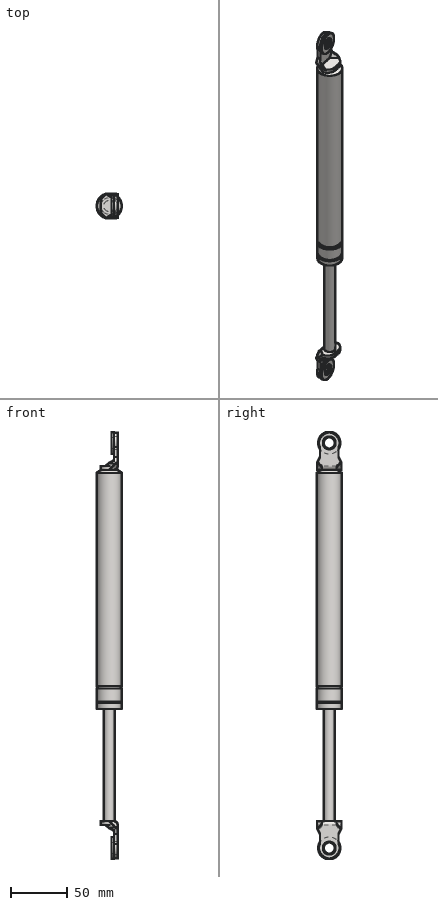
import cadquery as cq
import math

overall_length = 380.0
foot_height = 156.0

tube_diameter = 22.5
tube_bottom = -56.5
crown_height = 2.5
crown_width = 3.8
bottom_fillet = 1.0
roll_groove_z = -37.2
roll_groove_width = 2.3
roll_groove_depth = 1.0
vee_groove_z = -50.5
vee_groove_width = 1.5
vee_groove_depth = 0.8

rod_diameter = 10.0

plate_thickness = 3.5
foot_width = 22.0
foot_left = -7.5
foot_corner_radius = 8.0
arm_outer = 7.5
bend_radius = 3.5
neck_half_width = 8.5
taper_bottom = 5.7
taper_top = 11.5
gusset_leg = 7.2
gusset_width = 5.0
bevel_leg = 7.5
bevel_width = 6.5
arm_eye_radius = 9.0
arm_hole_diameter = 11.5

ring_diameter = 19.8
ring_hole_diameter = 10.0
ring_thickness = 2.3

tube_radius = tube_diameter / 2
foot_half_width = foot_width / 2
arm_inner = arm_outer - plate_thickness
eye_height = overall_length / 2 - ring_diameter / 2 - foot_height
arm_height = eye_height + arm_eye_radius


def revolve_section(section):
    """Ring swept around the Z axis from a section in the XZ plane."""
    return section.close().revolve(360, (0, 0, 0), (0, 1, 0))


def make_roll_groove():
    """Cutter for the rounded groove rolled into the tube."""
    half_width = roll_groove_width / 2
    section = (
        cq.Workplane("XZ")
        .moveTo(tube_radius, roll_groove_z - half_width)
        .threePointArc(
            (tube_radius - roll_groove_depth, roll_groove_z),
            (tube_radius, roll_groove_z + half_width),
        )
    )
    return revolve_section(section)


def make_vee_groove():
    """Cutter for the fine V groove above the tube's lower end."""
    half_width = vee_groove_width / 2
    section = (
        cq.Workplane("XZ")
        .moveTo(tube_radius, vee_groove_z - half_width)
        .lineTo(tube_radius - vee_groove_depth, vee_groove_z)
        .lineTo(tube_radius, vee_groove_z + half_width)
    )
    return revolve_section(section)


def make_tube():
    """Closed cylinder with a sloping crown on top and two grooves around it."""
    tube = cq.Workplane("XY", origin=(0, 0, tube_bottom)).circle(tube_radius)
    tube = tube.extrude(foot_height - tube_bottom)
    tube = tube.faces(">Z").chamfer(crown_height, crown_width)
    tube = tube.faces("<Z").edges().fillet(bottom_fillet)
    return tube.cut(make_roll_groove()).cut(make_vee_groove())


def make_rod():
    """Round rod from the tube's lower end to the lower bracket."""
    rod = cq.Workplane("XY", origin=(0, 0, -foot_height)).circle(rod_diameter / 2)
    return rod.extrude(tube_bottom + foot_height)


def make_bent_plate():
    """L-shaped plate with a rounded bend, lying on Z = 0."""
    plate = (
        cq.Workplane("XZ", origin=(0, foot_half_width, 0))
        .moveTo(foot_left, 0)
        .lineTo(arm_outer, 0)
        .lineTo(arm_outer, arm_height)
        .lineTo(arm_inner, arm_height)
        .lineTo(arm_inner, plate_thickness)
        .lineTo(foot_left, plate_thickness)
        .close()
        .extrude(foot_width)
    )
    plate = plate.edges("|Y and >X and <Z").fillet(bend_radius)
    return plate.edges("|Z and <X").fillet(foot_corner_radius)


def make_corner_block(x, y, z, leg, width):
    """Tetrahedron at (x, y, z): equal legs along -X and +Z, and a width towards Y = 0."""
    corner = cq.Vector(x, y, z)
    tip_x = cq.Vector(x - leg, y, z)
    tip_y = cq.Vector(x, y - math.copysign(width, y), z)
    tip_z = cq.Vector(x, y, z + leg)
    triangles = [
        (corner, tip_x, tip_y),
        (corner, tip_y, tip_z),
        (corner, tip_z, tip_x),
        (tip_x, tip_y, tip_z),
    ]
    faces = [
        cq.Face.makeFromWires(cq.Wire.makePolygon(list(triangle), close=True))
        for triangle in triangles
    ]
    return cq.Workplane(cq.Solid.makeSolid(cq.Shell.makeShell(faces)))


def make_arm_outline():
    """Prism along X: wide foot, tapered shoulders, narrow neck and round eye."""
    neck_top = eye_height - math.sqrt(arm_eye_radius**2 - neck_half_width**2)
    return (
        cq.Workplane("YZ", origin=(foot_left, 0, 0))
        .moveTo(-foot_half_width, 0)
        .lineTo(foot_half_width, 0)
        .lineTo(foot_half_width, taper_bottom)
        .lineTo(neck_half_width, taper_top)
        .lineTo(neck_half_width, neck_top)
        .threePointArc((0, arm_height), (-neck_half_width, neck_top))
        .lineTo(-neck_half_width, taper_top)
        .lineTo(-foot_half_width, taper_bottom)
        .close()
        .extrude(arm_outer - foot_left)
    )


def make_bracket():
    """Bracket standing on Z = 0, with its eye at the top."""
    bracket = make_bent_plate()
    for edge_y in (-foot_half_width, foot_half_width):
        gusset = make_corner_block(arm_inner, edge_y, plate_thickness, gusset_leg, gusset_width)
        bevel = make_corner_block(arm_outer, edge_y, 0, bevel_leg, bevel_width)
        bracket = bracket.union(gusset).cut(bevel)
    bracket = bracket.intersect(make_arm_outline())
    hole = cq.Workplane("YZ", origin=(arm_inner, 0, 0)).center(0, eye_height)
    return bracket.cut(hole.circle(arm_hole_diameter / 2).extrude(plate_thickness))


def make_ring():
    """Bushing ring against the inner face of a bracket's eye."""
    ring = cq.Workplane("YZ", origin=(arm_inner - ring_thickness, 0, 0)).center(0, eye_height)
    return ring.circle(ring_diameter / 2).circle(ring_hole_diameter / 2).extrude(ring_thickness)


def place_at_both_ends(body):
    """Copies of an end body: one on top of the tube, one mirrored below the rod."""
    upper = body.translate((0, 0, foot_height))
    return [upper.val(), upper.mirror("XY").val()]


tube = make_tube()
rod = make_rod()
brackets = place_at_both_ends(make_bracket())
rings = place_at_both_ends(make_ring())

result = cq.Compound.makeCompound([tube.val(), rod.val(), *brackets, *rings])